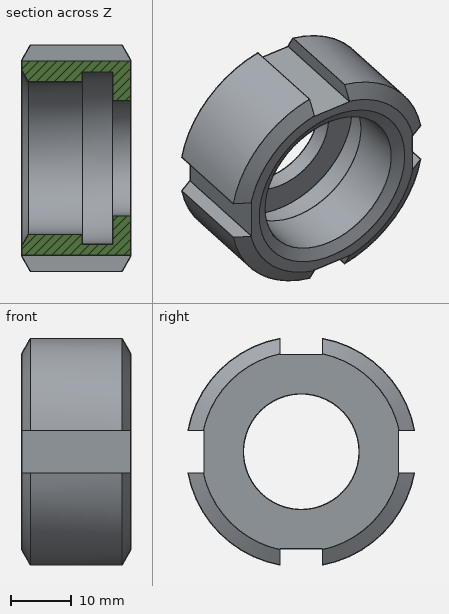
import cadquery as cq
import math

width = 18.0
slot_width = 7.0
half_span = 18.68
slot_floor = 16.02
slot_count = 4
rim_clearance = 0.37
face_radius = 16.5
chamfer_angle = 30.0
bore_radius = 19.0 / 2
thread_radius = 25.15 / 2
mouth_radius = 29.0 / 2
mouth_angle = 60.0
groove_radius = 28.4 / 2
groove_width = 5.0
floor_thickness = 3.0

outer_radius = math.hypot(half_span, slot_width / 2)
chamfer_length = (outer_radius - face_radius) * math.tan(math.radians(chamfer_angle))
mouth_depth = (mouth_radius - thread_radius) / math.tan(math.radians(mouth_angle))
open_end = -width / 2
closed_end = width / 2
floor_x = closed_end - floor_thickness
groove_start = floor_x - groove_width


def ring_body():
    """Revolve the half section of the ring about the X axis."""
    section = [
        (open_end, mouth_radius),
        (open_end, face_radius),
        (open_end + chamfer_length, outer_radius),
        (closed_end - chamfer_length, outer_radius),
        (closed_end, face_radius),
        (closed_end, bore_radius),
        (floor_x, bore_radius),
        (floor_x, groove_radius),
        (groove_start, groove_radius),
        (groove_start, thread_radius),
        (open_end + mouth_depth, thread_radius),
    ]
    return cq.Workplane("XY").polyline(section).close().revolve(360, (0, 0, 0), (1, 0, 0))


def spanner_slot(angle):
    """Full-width block that cuts one flat-bottomed slot in the rim."""
    slot_height = outer_radius - slot_floor + rim_clearance
    block = cq.Workplane("XY").box(width, slot_width, slot_height, centered=(True, True, False))
    return block.translate((0, 0, slot_floor)).rotate((0, 0, 0), (1, 0, 0), angle)


result = ring_body()
for index in range(slot_count):
    result = result.cut(spanner_slot(index * 360 / slot_count))